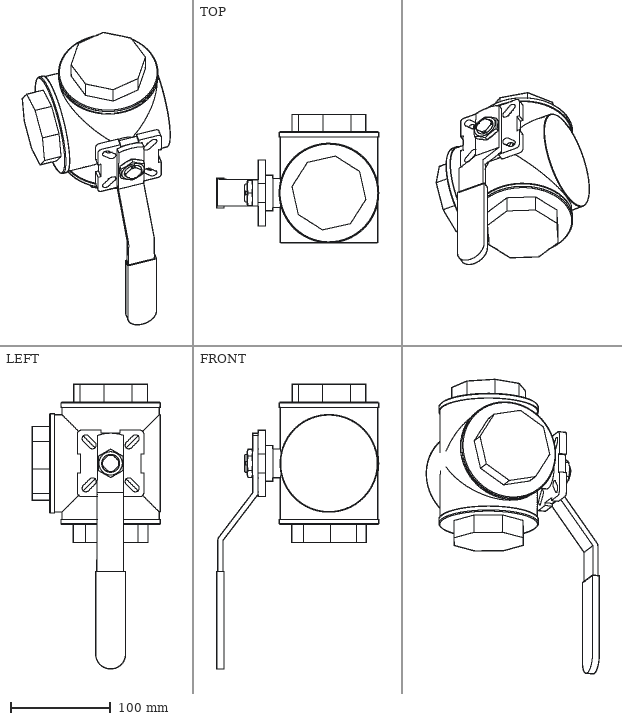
import cadquery as cq
import math


body_diameter = 98.0
front_face = 50.0
face_chamfer = 0.5
collar_diameter = 100.0
collar_end = 61.5
collar_width = 5.0
collar_chamfer = 1.0
octagon_diameter = 75.0
end_piece_reach = 79.4
side_piece_reach = 78.8
top_turn = 35.0
bottom_turn = 2.5
rear_turn = 9.0

neck_diameter = 29.0
stem_collar_diameter = 36.0
stem_collar_start = 56.2
plate_start = 63.5
plate_thickness = 7.7
plate_size = 66.5
plate_corner_radius = 3.7
notch_width = 19.0
notch_depth = 2.9
slot_inner = 18.3
slot_outer = 24.8
slot_width = 7.5
nut_thickness = 5.5
nut_corner_diameter = 28.5
nut_chamfer_diameter = 23.5
nut_chamfer_height = 0.9
stem_tip_diameter = 18.0
stem_tip_flats = 14.8
stem_tip_chamfer = 0.9
stem_tip_length = 2.5

lever_thickness = 5.5
lever_top = 30.3
lever_shoulder = 28.0
lever_right = 13.0
lever_left_top = 13.0
lever_left_bottom = 14.0
upper_bend_z = -29.5
lower_bend_z = -75.4
grip_top = -108.2
grip_bottom = -206.0
grip_thickness = 7.5
grip_width = 30.3
grip_outer_x = -112.5

plate_face = plate_start + plate_thickness
lever_face = plate_face + lever_thickness
nut_face = lever_face + nut_thickness


def port(plane, reach, turn):
    """One port: body tube, chamfered collar and octagonal end piece along the plane normal."""
    tube = cq.Workplane(plane).circle(body_diameter / 2).extrude(collar_end)
    collar = (
        cq.Workplane(plane)
        .workplane(offset=collar_end - collar_width)
        .circle(collar_diameter / 2)
        .extrude(collar_width)
        .faces(cq.selectors.DirectionMinMaxSelector(plane.zDir, True))
        .chamfer(collar_chamfer)
    )
    octagon = (
        cq.Workplane(plane)
        .transformed(rotate=(0, 0, turn))
        .polygon(8, octagon_diameter)
        .extrude(reach)
    )
    return tube.union(collar).union(octagon)


def outward_plane(normal):
    """Plane through the centre with its local x along +X."""
    return cq.Plane(origin=(0, 0, 0), xDir=(1, 0, 0), normal=normal)


def valve_body():
    front = (
        cq.Workplane("XZ")
        .circle(body_diameter / 2)
        .extrude(front_face)
        .faces("<Y")
        .chamfer(face_chamfer)
    )
    top = port(outward_plane((0, 0, 1)), end_piece_reach, top_turn)
    bottom = port(outward_plane((0, 0, -1)), end_piece_reach, -bottom_turn)
    rear = port(outward_plane((0, 1, 0)), side_piece_reach, -rear_turn)
    return front.union(top).union(bottom).union(rear)


def stem_plane(distance):
    """Plane facing -X at the given distance from the centre; its local x runs along -Y."""
    return cq.Workplane(cq.Plane(origin=(-distance, 0, 0), xDir=(0, -1, 0), normal=(-1, 0, 0)))


def mounting_plate():
    plate = stem_plane(plate_start).rect(plate_size, plate_size).extrude(plate_thickness)
    plate = plate.edges("|X").fillet(plate_corner_radius)
    slot_middle = (slot_inner + slot_outer) / 2
    slot_length = (slot_outer - slot_inner) * math.sqrt(2) + slot_width
    for quarter in range(4):
        notch = (
            stem_plane(plate_start)
            .transformed(rotate=(0, 0, 90 * quarter))
            .center(plate_size / 2, 0)
            .rect(2 * notch_depth, notch_width)
            .extrude(plate_thickness)
        )
        slot = (
            stem_plane(plate_start)
            .transformed(rotate=(0, 0, 45 + 90 * quarter))
            .center(slot_middle * math.sqrt(2), 0)
            .slot2D(slot_length, slot_width)
            .extrude(plate_thickness)
        )
        plate = plate.cut(notch).cut(slot)
    return plate


def stem():
    neck = stem_plane(0).circle(neck_diameter / 2).extrude(plate_start)
    collar = (
        stem_plane(stem_collar_start)
        .circle(stem_collar_diameter / 2)
        .extrude(plate_start - stem_collar_start)
    )
    return neck.union(collar)


def nut():
    """Bored hexagon nut with a conical chamfer on both faces."""
    hexagon = (
        stem_plane(lever_face)
        .transformed(rotate=(0, 0, 90))
        .polygon(6, nut_corner_diameter)
        .circle(stem_tip_diameter / 2)
        .extrude(nut_thickness)
    )
    chamfered_profile = (
        cq.Workplane("XZ")
        .moveTo(-lever_face, 0)
        .lineTo(-lever_face, nut_chamfer_diameter / 2)
        .lineTo(-lever_face - nut_chamfer_height, nut_corner_diameter / 2)
        .lineTo(-nut_face + nut_chamfer_height, nut_corner_diameter / 2)
        .lineTo(-nut_face, nut_chamfer_diameter / 2)
        .lineTo(-nut_face, 0)
        .close()
    )
    return hexagon.intersect(chamfered_profile.revolve(360, (0, 0, 0), (1, 0, 0)))


def stem_tip():
    """Round stem end with four diagonal flats that run down through the nut."""
    length = nut_thickness + stem_tip_length
    bar = (
        stem_plane(lever_face)
        .circle(stem_tip_diameter / 2)
        .extrude(length)
        .faces("<X")
        .chamfer(stem_tip_chamfer)
    )
    flats = (
        stem_plane(lever_face)
        .transformed(rotate=(0, 0, 45))
        .rect(stem_tip_flats, stem_tip_flats)
        .extrude(length)
    )
    return bar.intersect(flats)


def lever():
    """Twice-bent strip: its side profile intersected with its flat outline."""
    grip_middle_x = grip_outer_x + grip_thickness / 2
    lower_outer_x = grip_middle_x - lever_thickness / 2
    lean = math.atan2(-lower_outer_x - lever_face, upper_bend_z - lower_bend_z)
    bend_shift = lever_thickness * math.tan(lean / 2)
    profile = (
        cq.Workplane("XZ")
        .moveTo(-lever_face, lever_top)
        .lineTo(-lever_face, upper_bend_z)
        .lineTo(lower_outer_x, lower_bend_z)
        .lineTo(lower_outer_x, grip_top)
        .lineTo(lower_outer_x + lever_thickness, grip_top)
        .lineTo(lower_outer_x + lever_thickness, lower_bend_z - bend_shift)
        .lineTo(-plate_face, upper_bend_z - bend_shift)
        .lineTo(-plate_face, lever_top)
        .close()
        .extrude(grip_width, both=True)
        .edges(cq.selectors.NearestToPointSelector((lower_outer_x, 0, lower_bend_z)))
        .fillet(lever_thickness)
    )
    outline = (
        stem_plane(0)
        .moveTo(-lever_left_top, lever_shoulder)
        .threePointArc((0, lever_top), (lever_right, lever_shoulder))
        .lineTo(lever_right, grip_top)
        .lineTo(-lever_left_bottom, grip_top)
        .close()
        .extrude(-grip_outer_x)
    )
    return profile.intersect(outline)


def grip():
    return (
        stem_plane(-grip_outer_x - grip_thickness)
        .moveTo(-grip_width / 2, grip_top)
        .lineTo(grip_width / 2, grip_top)
        .lineTo(grip_width / 2, grip_bottom + grip_width / 2)
        .threePointArc((0, grip_bottom), (-grip_width / 2, grip_bottom + grip_width / 2))
        .close()
        .extrude(grip_thickness)
    )


result = valve_body()
for part in (stem(), mounting_plate(), lever(), grip(), nut(), stem_tip()):
    result = result.union(part)